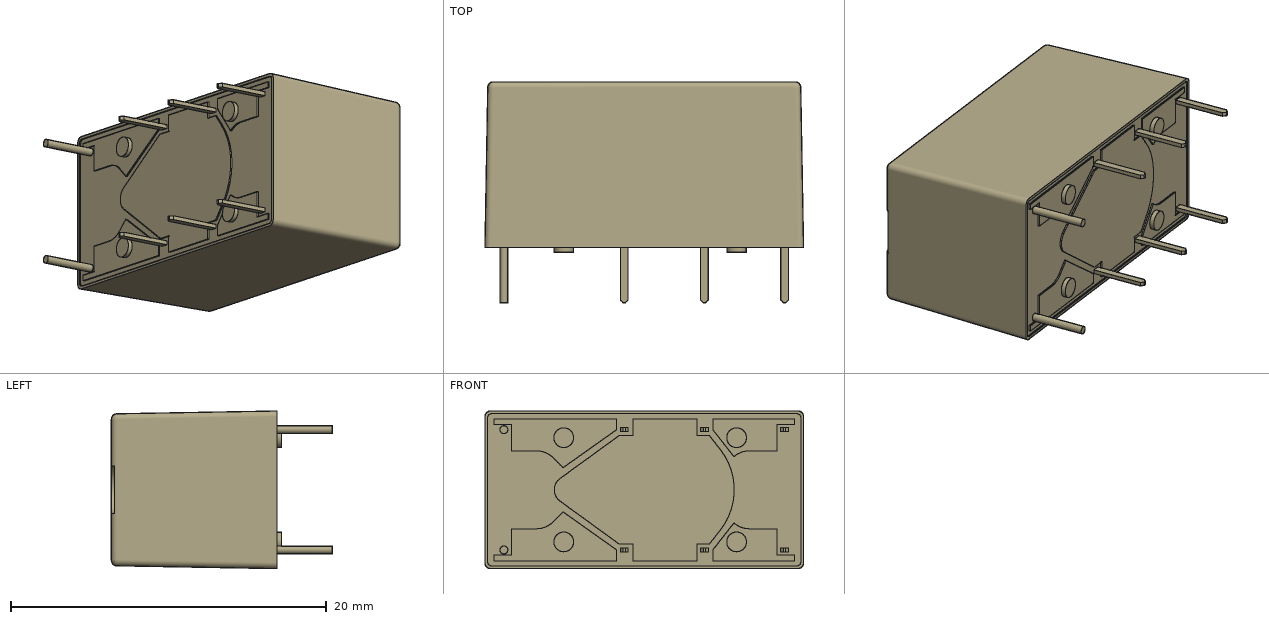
import cadquery as cq
import math


CASE_LENGTH = 20.2
CASE_HEIGHT = 10.0
CASE_DEPTH = 10.5
DRAFT_ANGLE = 1.0
EDGE_RADIUS = 0.37

RIM_WIDTH = 0.18
BASE_SETBACK = 0.1
BASE_CORNER_RADIUS = 0.25

PAD_HEIGHT = BASE_SETBACK
PAD_TOP = 4.5
CORNER_LIP_Z = 4.13
CORNER_END_X = 9.53
CORNER_STEP_X = 8.42
CORNER_INNER_Z = 2.47
CORNER_CURVE_RADIUS = 1.5
CORNER_SHOULDER_Z = 3.8
LEFT_CORNER_EDGE_X = -1.76
LEFT_CORNER_TIP = (-5.14, 1.4)
LEFT_TIP_ANGLE = 45.0
RIGHT_CORNER_EDGE_X = 4.35
RIGHT_CORNER_TIP = (5.68, 2.1)

CENTRAL_EDGE_LEFT_X = -0.7
CENTRAL_EDGE_RIGHT_X = 3.33
CENTRAL_SHOULDER_Z = 3.43
LEFT_FLANK_START_X = -1.6
LEFT_FLANK_ANGLE = 36.0
RIGHT_FLANK_START_X = 4.13
RIGHT_FLANK_ANGLE = 52.0
NOSE_REACH = 5.7

BOSS_DIAMETER = 1.25
BOSS_PROTRUSION = 0.3
BOSS_XS = (-5.1, 5.85)
BOSS_Z = 3.3

PIN_LENGTH = 3.5
PIN_PITCH = 5.08
PIN_ROW_SPACING = 7.62
PIN_ROW_Z = PIN_ROW_SPACING / 2
PIN_WIDTH = 0.5
PIN_THICKNESS = 0.25
PIN_TIP_CHAMFER = 0.18
LAST_PIN_X = 8.89
FLAT_PINS_PER_ROW = 3
FLAT_PIN_XS = [LAST_PIN_X - i * PIN_PITCH for i in range(FLAT_PINS_PER_ROW)]
ROUND_PIN_X = -LAST_PIN_X

ROOT_DEPTH = 1.0

NOTCH_DIAMETER = 3.0
NOTCH_DEPTH = 0.2


def plane_at(y):
    """Plane facing -Y at the given Y, with local x along X and local y along Z."""
    return cq.Workplane("XZ", origin=(0, y, 0))


def mirrored_in_z(half):
    """The given solid together with its mirror image below Z = 0."""
    return half.union(half.mirror("XY"))


def make_case():
    """Block tapering towards the rear, with rounded side edges and a rounded rear border."""
    case = (
        plane_at(0)
        .rect(CASE_LENGTH, CASE_HEIGHT)
        .extrude(-CASE_DEPTH, taper=DRAFT_ANGLE)
        .edges("not(|X or |Z)")
        .fillet(EDGE_RADIUS)
    )
    return case.faces(">Y").edges().fillet(EDGE_RADIUS)


def make_base_setback():
    """Volume removed inside the rim to form the base floor."""
    return (
        plane_at(BASE_SETBACK)
        .rect(CASE_LENGTH - 2 * RIM_WIDTH, CASE_HEIGHT - 2 * RIM_WIDTH)
        .extrude(BASE_SETBACK)
        .edges("|Y")
        .fillet(BASE_CORNER_RADIUS)
    )


def pad_plane():
    return plane_at(BASE_SETBACK)


def make_left_corner_pad():
    tip_x, tip_z = LEFT_CORNER_TIP
    slope = math.radians(LEFT_TIP_ANGLE)
    corner_x = tip_x - (CORNER_INNER_Z - tip_z) / math.tan(slope)
    tangent_length = CORNER_CURVE_RADIUS * math.tan(slope / 2)
    curve_start = (
        corner_x + tangent_length * math.cos(slope),
        CORNER_INNER_Z - tangent_length * math.sin(slope),
    )
    curve_end = (corner_x - tangent_length, CORNER_INNER_Z)
    return (
        pad_plane()
        .moveTo(-CORNER_END_X, PAD_TOP)
        .lineTo(LEFT_CORNER_EDGE_X, PAD_TOP)
        .lineTo(LEFT_CORNER_EDGE_X, CORNER_SHOULDER_Z)
        .lineTo(tip_x, tip_z)
        .lineTo(*curve_start)
        .radiusArc(curve_end, -CORNER_CURVE_RADIUS)
        .lineTo(-CORNER_STEP_X, CORNER_INNER_Z)
        .lineTo(-CORNER_STEP_X, CORNER_LIP_Z)
        .lineTo(-CORNER_END_X, CORNER_LIP_Z)
        .close()
        .extrude(PAD_HEIGHT)
    )


def make_right_corner_pad():
    tip_x, tip_z = RIGHT_CORNER_TIP
    curve_drop = CORNER_INNER_Z - tip_z
    curve_run = math.sqrt(2 * CORNER_CURVE_RADIUS * curve_drop - curve_drop**2)
    return (
        pad_plane()
        .moveTo(CORNER_END_X, PAD_TOP)
        .lineTo(RIGHT_CORNER_EDGE_X, PAD_TOP)
        .lineTo(RIGHT_CORNER_EDGE_X, CORNER_SHOULDER_Z)
        .lineTo(tip_x, tip_z)
        .radiusArc((tip_x + curve_run, CORNER_INNER_Z), CORNER_CURVE_RADIUS)
        .lineTo(CORNER_STEP_X, CORNER_INNER_Z)
        .lineTo(CORNER_STEP_X, CORNER_LIP_Z)
        .lineTo(CORNER_END_X, CORNER_LIP_Z)
        .close()
        .extrude(PAD_HEIGHT)
    )


def nose_tangent_point(flank_start_distance, flank_angle):
    """Distance along X from the origin, and Z, where a flank runs into its round nose.

    The nose is centred on Z = 0, reaches NOSE_REACH from the origin and is tangent to the flank.
    """
    angle = math.radians(flank_angle)
    flank_offset = flank_start_distance * math.sin(angle) + CENTRAL_SHOULDER_Z * math.cos(angle)
    centre = (NOSE_REACH - flank_offset) / (1 - math.sin(angle))
    radius = NOSE_REACH - centre
    return centre + radius * math.sin(angle), radius * math.cos(angle)


def make_central_pad():
    left_x, left_z = nose_tangent_point(-LEFT_FLANK_START_X, LEFT_FLANK_ANGLE)
    right_x, right_z = nose_tangent_point(RIGHT_FLANK_START_X, RIGHT_FLANK_ANGLE)
    return (
        pad_plane()
        .moveTo(CENTRAL_EDGE_LEFT_X, PAD_TOP)
        .lineTo(CENTRAL_EDGE_RIGHT_X, PAD_TOP)
        .lineTo(CENTRAL_EDGE_RIGHT_X, CENTRAL_SHOULDER_Z)
        .lineTo(RIGHT_FLANK_START_X, CENTRAL_SHOULDER_Z)
        .lineTo(right_x, right_z)
        .threePointArc((NOSE_REACH, 0), (right_x, -right_z))
        .lineTo(RIGHT_FLANK_START_X, -CENTRAL_SHOULDER_Z)
        .lineTo(CENTRAL_EDGE_RIGHT_X, -CENTRAL_SHOULDER_Z)
        .lineTo(CENTRAL_EDGE_RIGHT_X, -PAD_TOP)
        .lineTo(CENTRAL_EDGE_LEFT_X, -PAD_TOP)
        .lineTo(CENTRAL_EDGE_LEFT_X, -CENTRAL_SHOULDER_Z)
        .lineTo(LEFT_FLANK_START_X, -CENTRAL_SHOULDER_Z)
        .lineTo(-left_x, -left_z)
        .threePointArc((-NOSE_REACH, 0), (-left_x, left_z))
        .lineTo(LEFT_FLANK_START_X, CENTRAL_SHOULDER_Z)
        .lineTo(CENTRAL_EDGE_LEFT_X, CENTRAL_SHOULDER_Z)
        .close()
        .extrude(PAD_HEIGHT)
    )


def make_bosses():
    centres = [(x, z) for x in BOSS_XS for z in (BOSS_Z, -BOSS_Z)]
    return (
        plane_at(ROOT_DEPTH)
        .pushPoints(centres)
        .circle(BOSS_DIAMETER / 2)
        .extrude(ROOT_DEPTH + BOSS_PROTRUSION)
    )


def make_round_pins():
    return (
        plane_at(ROOT_DEPTH)
        .pushPoints([(ROUND_PIN_X, PIN_ROW_Z), (ROUND_PIN_X, -PIN_ROW_Z)])
        .circle(PIN_WIDTH / 2)
        .extrude(ROOT_DEPTH + PIN_LENGTH)
    )


def make_flat_pin(x, z):
    """Rectangular pin whose tip is chamfered on its two narrow sides."""
    return (
        plane_at(ROOT_DEPTH)
        .center(x, z)
        .rect(PIN_WIDTH, PIN_THICKNESS)
        .extrude(ROOT_DEPTH + PIN_LENGTH)
        .faces("<Y")
        .edges("|Z")
        .chamfer(PIN_TIP_CHAMFER)
    )


def make_notch():
    """Disc centred on the -X edge of the rear face."""
    rear_half_length = CASE_LENGTH / 2 - CASE_DEPTH * math.tan(math.radians(DRAFT_ANGLE))
    return (
        plane_at(CASE_DEPTH)
        .center(-rear_half_length, 0)
        .circle(NOTCH_DIAMETER / 2)
        .extrude(NOTCH_DEPTH)
    )


result = make_case().cut(make_base_setback())
result = result.union(mirrored_in_z(make_left_corner_pad()))
result = result.union(mirrored_in_z(make_right_corner_pad()))
result = result.union(make_central_pad())
result = result.cut(make_notch())
result = result.union(make_bosses()).union(make_round_pins())
for pin_x in FLAT_PIN_XS:
    for pin_z in (PIN_ROW_Z, -PIN_ROW_Z):
        result = result.union(make_flat_pin(pin_x, pin_z))